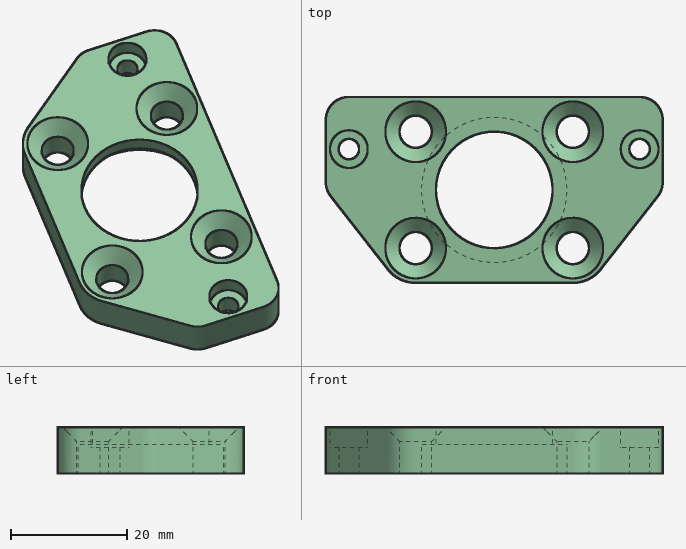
import cadquery as cq

length = 58.0
width = 32.0
thickness = 8.0
front_edge_length = 32.95
side_corner_radius = 4.0
front_corner_radius = 6.0

bore_diameter = 20.0
lower_bore_diameter = 25.0
bore_lip_thickness = 3.0

screw_spacing_x = 27.0
screw_spacing_y = 20.0
screw_hole_diameter = 5.5
countersink_diameter = 10.45
countersink_angle = 90.0

end_hole_spacing = 50.0
end_hole_y = 7.0
end_hole_diameter = 3.5
end_counterbore_diameter = 6.5
end_counterbore_depth = 3.5


def make_plate():
    """Rectangle with its two front corners cut off, bottom face at Z = 0."""
    half_length = length / 2
    half_width = width / 2
    half_front = front_edge_length / 2
    outline = [
        (-half_length, half_width),
        (-half_length, 0),
        (-half_front, -half_width),
        (half_front, -half_width),
        (half_length, 0),
        (half_length, half_width),
    ]
    plate = cq.Workplane("XY").polyline(outline).close().extrude(thickness)
    front_corners = cq.selectors.BoxSelector(
        (-half_length, -width, 0), (half_length, -half_width / 2, thickness)
    )
    plate = plate.edges("|Z").edges(front_corners).fillet(front_corner_radius)
    for side in ("<X", ">X"):
        plate = plate.faces(side).edges("|Z").fillet(side_corner_radius)
    return plate


def cut_bore(plate):
    """Through bore with a wider bore below, leaving a lip at the top."""
    plate = plate.faces(">Z").workplane(origin=(0, 0, 0)).hole(bore_diameter)
    lower_bore = cq.Workplane("XY").circle(lower_bore_diameter / 2).extrude(thickness - bore_lip_thickness)
    return plate.cut(lower_bore)


def cut_screw_holes(plate):
    """Four countersunk holes around the bore."""
    return (
        plate.faces(">Z")
        .workplane(origin=(0, 0, 0))
        .rarray(screw_spacing_x, screw_spacing_y, 2, 2)
        .cskHole(screw_hole_diameter, countersink_diameter, countersink_angle)
    )


def cut_end_holes(plate):
    """One counterbored hole near each end."""
    return (
        plate.faces(">Z")
        .workplane(origin=(0, end_hole_y, 0))
        .pushPoints([(-end_hole_spacing / 2, 0), (end_hole_spacing / 2, 0)])
        .cboreHole(end_hole_diameter, end_counterbore_diameter, end_counterbore_depth)
    )


result = cut_end_holes(cut_screw_holes(cut_bore(make_plate())))